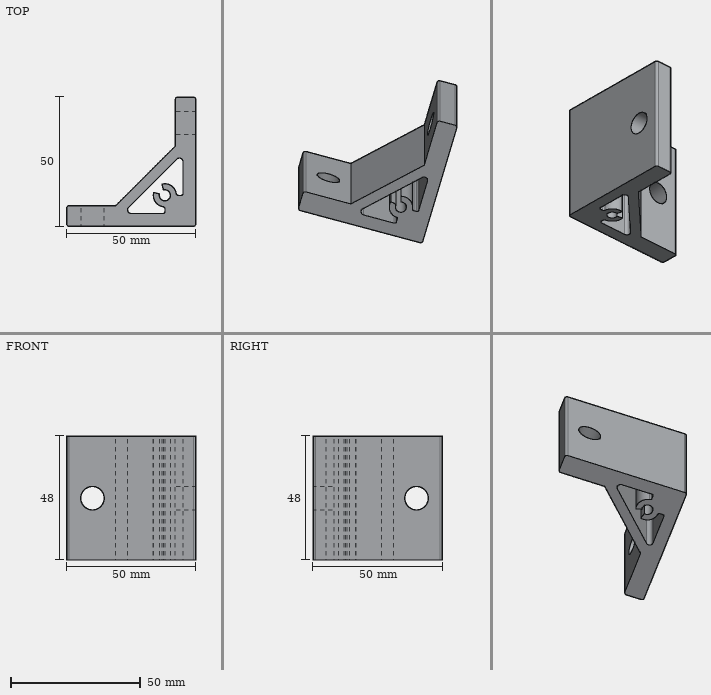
import cadquery as cq
import math

leg_length = 50.0
height = 48.0
leg_thickness = 8.0
edge_radius = 1.0

gusset_start = 31.0
gusset_thickness = 4.0

pocket_wall = 5.0
pocket_tip_radius = 1.4
channel_end_radius = 0.75

ring_offset = 12.0
ring_outer_radius = 4.5
ring_bore_radius = 2.1
mouth_angle = 60.0
mouth_direction = 135.0

hole_diameter = 9.0
hole_from_leg_end = 10.0

gusset_reach = gusset_start + leg_thickness
pocket_reach = gusset_reach - gusset_thickness * math.sqrt(2)
pocket_tip = pocket_reach - pocket_wall


def make_legs():
    """L-shaped body with its diagonal gusset and rounded outer edges."""
    profile = [
        (0, 0),
        (-leg_length, 0),
        (-leg_length, leg_thickness),
        (-gusset_start, leg_thickness),
        (-leg_thickness, gusset_start),
        (-leg_thickness, leg_length),
        (0, leg_length),
    ]
    body = cq.Workplane("XY").polyline(profile).close().extrude(height)
    leg_end_edges = body.faces("<X or >Y").edges("|Z")
    corner_edge = body.faces("<Y").edges("|Z").edges(">X")
    return body.newObject(leg_end_edges.vals() + corner_edge.vals()).fillet(edge_radius)


def make_post(radius):
    """Full-height cylinder on the screw ring axis."""
    return cq.Workplane("XY").center(-ring_offset, ring_offset).circle(radius).extrude(height)


def make_mouth():
    """Ring sector removed from the ring axis toward the gusset."""
    wedge_length = 2 * ring_outer_radius
    wedge = cq.Workplane("XY").center(-ring_offset, ring_offset).moveTo(0, 0)
    for side in (-1, 1):
        angle = math.radians(mouth_direction + side * mouth_angle / 2)
        wedge = wedge.lineTo(wedge_length * math.cos(angle), wedge_length * math.sin(angle))
    return wedge.close().extrude(height).intersect(make_post(ring_outer_radius))


def make_pocket():
    """Triangular through pocket, leaving the corner block and the open ring standing."""
    triangle = [
        (-pocket_wall, pocket_wall),
        (-pocket_tip, pocket_wall),
        (-pocket_wall, pocket_tip),
    ]
    pocket = cq.Workplane("XY").polyline(triangle).close().extrude(height)
    tip_edges = pocket.edges("|Z").edges("<X or >Y")
    pocket = tip_edges.fillet(pocket_tip_radius)

    corner_block = (
        cq.Workplane("XY").rect(-ring_offset, ring_offset, centered=False).extrude(height)
    )
    pocket = pocket.cut(corner_block).cut(make_post(ring_outer_radius))

    channel_middle = (pocket_wall + ring_offset - ring_outer_radius) / 2
    bottom_end_point = (-ring_offset, channel_middle, height / 2)
    side_end_point = (-channel_middle, ring_offset, height / 2)
    for end_point in (bottom_end_point, side_end_point):
        end_face = pocket.faces(cq.selectors.NearestToPointSelector(end_point))
        pocket = end_face.edges("|Z").fillet(channel_end_radius)
    return pocket


def make_ring_opening():
    """Bore of the screw ring together with its mouth."""
    return make_post(ring_bore_radius).union(make_mouth())


def make_mounting_holes():
    """One through hole per leg, centred on the height and near the leg's free end."""
    hole_position = leg_length - hole_from_leg_end
    x_leg_hole = (
        cq.Workplane("XZ", origin=(-hole_position, leg_thickness, height / 2))
        .circle(hole_diameter / 2)
        .extrude(leg_thickness)
    )
    y_leg_hole = (
        cq.Workplane("YZ", origin=(-leg_thickness, hole_position, height / 2))
        .circle(hole_diameter / 2)
        .extrude(leg_thickness)
    )
    return x_leg_hole.union(y_leg_hole)


result = (
    make_legs()
    .cut(make_pocket())
    .cut(make_ring_opening())
    .cut(make_mounting_holes())
)